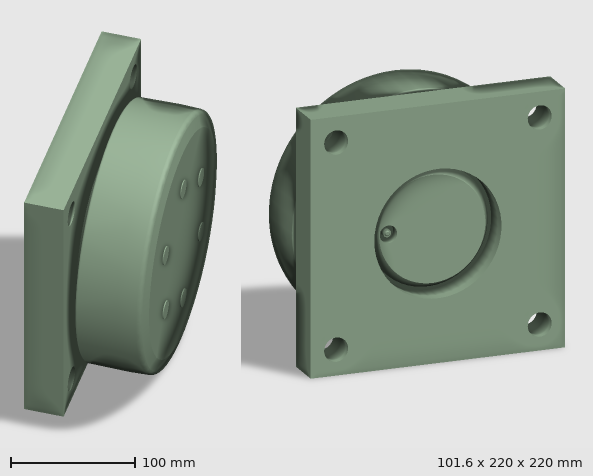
import cadquery as cq
import math

PLATE_SIZE = 220
PLATE_THICKNESS = 33.2
PLATE_BORE_DIAMETER = 110
BOLT_HOLE_DIAMETER = 20.7
BOLT_HOLE_PITCH = 176

HUB_DIAMETER = 146.0
HUB_LENGTH = 9.2

BOSS_DIAMETER = 103.8
BOSS_TAPER_WIDTH = 6.0
BOSS_TAPER_LENGTH = 10.1
BOSS_RECESS = 12.8
SHAFT_SHOULDER_X = BOSS_RECESS + BOSS_TAPER_LENGTH

WHEEL_DIAMETER = 220
WHEEL_WIDTH = 58.3
CROWN_RADIUS = 499.5
INNER_EDGE_FILLET = 1.8
OUTER_EDGE_FILLET = 4.5
FACE_CONE_WIDTH = 3.5
FACE_CONE_ANGLE = 14.5
CROWN_TOP_X = 69.3
WHEEL_INNER_X = PLATE_THICKNESS + HUB_LENGTH
WHEEL_OUTER_X = WHEEL_INNER_X + WHEEL_WIDTH

SCREW_COUNT = 6
SCREW_HEAD_DIAMETER = 15.6
SCREW_HEAD_HEIGHT = 0.9
SCREW_CIRCLE_RADIUS = 57.9

NIPPLE_OFFSET = 37.8
COUNTERBORE_DIAMETER = 15.0
COUNTERBORE_DEPTH = 8.5
NIPPLE_BODY_DIAMETER = 6.8
NIPPLE_BODY_HEIGHT = 6.0
NIPPLE_HEAD_DIAMETER = 4.8
NIPPLE_TIP_DIAMETER = 3.0
NIPPLE_HEAD_HEIGHT = 1.0


def plane_at(x):
    """YZ sketch plane at the given X, with its normal along +X."""
    return cq.Workplane("YZ", origin=(x, 0, 0))


def make_plate():
    return (
        plane_at(0)
        .rect(PLATE_SIZE, PLATE_SIZE)
        .circle(PLATE_BORE_DIAMETER / 2)
        .rarray(BOLT_HOLE_PITCH, BOLT_HOLE_PITCH, 2, 2)
        .circle(BOLT_HOLE_DIAMETER / 2)
        .extrude(PLATE_THICKNESS)
    )


def crown_height(x):
    """Radius of the crowned tread at the given X."""
    drop = CROWN_RADIUS - math.sqrt(CROWN_RADIUS**2 - (x - CROWN_TOP_X) ** 2)
    return WHEEL_DIAMETER / 2 - drop


def make_rim():
    """Wheel disc: half profile revolved about the X axis, then its tread edges are rounded."""
    cone_start_x = WHEEL_OUTER_X - FACE_CONE_WIDTH
    inner_radius = crown_height(WHEEL_INNER_X)
    cone_radius = crown_height(cone_start_x)
    face_radius = cone_radius - FACE_CONE_WIDTH / math.tan(math.radians(FACE_CONE_ANGLE))
    rim = (
        cq.Workplane("XY")
        .moveTo(WHEEL_INNER_X, 0)
        .lineTo(WHEEL_INNER_X, inner_radius)
        .threePointArc((CROWN_TOP_X, WHEEL_DIAMETER / 2), (cone_start_x, cone_radius))
        .lineTo(WHEEL_OUTER_X, face_radius)
        .lineTo(WHEEL_OUTER_X, 0)
        .close()
        .revolve(360, (0, 0, 0), (1, 0, 0))
    )
    rim = rim.faces("%CONE").edges("<X").fillet(OUTER_EDGE_FILLET)
    return rim.faces("<X").edges().fillet(INNER_EDGE_FILLET)


def make_hub_and_shaft():
    hub = plane_at(PLATE_THICKNESS).circle(HUB_DIAMETER / 2).extrude(HUB_LENGTH)
    shaft_length = PLATE_THICKNESS - SHAFT_SHOULDER_X
    shaft = plane_at(SHAFT_SHOULDER_X).circle(PLATE_BORE_DIAMETER / 2).extrude(shaft_length)
    boss = (
        plane_at(BOSS_RECESS)
        .circle(BOSS_DIAMETER / 2 - BOSS_TAPER_WIDTH)
        .workplane(offset=BOSS_TAPER_LENGTH)
        .circle(BOSS_DIAMETER / 2)
        .loft()
    )
    return hub.union(shaft).union(boss)


def make_screw_heads():
    return (
        plane_at(WHEEL_OUTER_X)
        .polarArray(SCREW_CIRCLE_RADIUS, 90, 360, SCREW_COUNT)
        .circle(SCREW_HEAD_DIAMETER / 2)
        .extrude(SCREW_HEAD_HEIGHT)
    )


def make_counterbore():
    return (
        plane_at(BOSS_RECESS)
        .center(NIPPLE_OFFSET, 0)
        .circle(COUNTERBORE_DIAMETER / 2)
        .extrude(COUNTERBORE_DEPTH)
    )


def make_nipple():
    """Round body with a tapered head, standing on the counterbore floor."""
    body = (
        plane_at(BOSS_RECESS + COUNTERBORE_DEPTH)
        .center(NIPPLE_OFFSET, 0)
        .circle(NIPPLE_BODY_DIAMETER / 2)
        .extrude(-NIPPLE_BODY_HEIGHT)
    )
    head = (
        plane_at(BOSS_RECESS + COUNTERBORE_DEPTH - NIPPLE_BODY_HEIGHT)
        .center(NIPPLE_OFFSET, 0)
        .circle(NIPPLE_HEAD_DIAMETER / 2)
        .workplane(offset=-NIPPLE_HEAD_HEIGHT)
        .circle(NIPPLE_TIP_DIAMETER / 2)
        .loft()
    )
    return body.union(head)


def make_wheel():
    wheel = make_rim().union(make_hub_and_shaft()).union(make_screw_heads())
    return wheel.cut(make_counterbore()).union(make_nipple())


plate = make_plate()
wheel = make_wheel()

result = cq.Compound.makeCompound([plate.val(), wheel.val()])